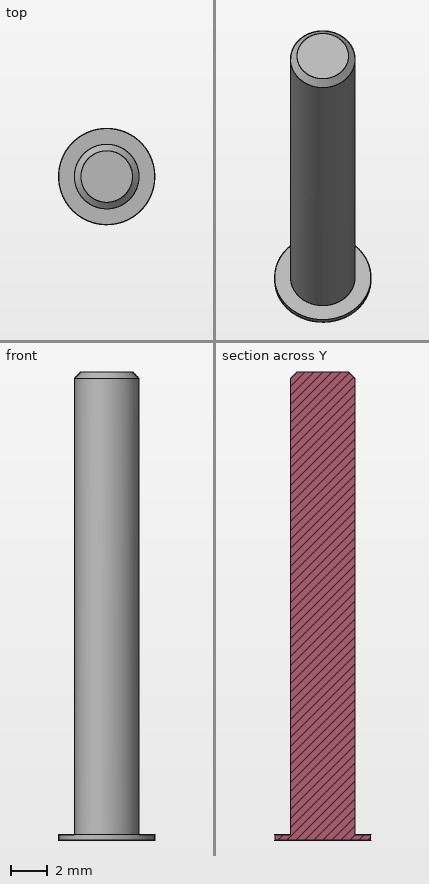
import cadquery as cq

total_length = 25.4
shank_diameter = 3.5
head_diameter = 5.23
head_thickness = 0.3
tip_chamfer = 0.35

head = cq.Workplane("XY").circle(head_diameter / 2).extrude(head_thickness)

shank = (
    cq.Workplane("XY")
    .circle(shank_diameter / 2)
    .extrude(total_length)
    .faces(">Z")
    .chamfer(tip_chamfer)
)

result = head.union(shank)